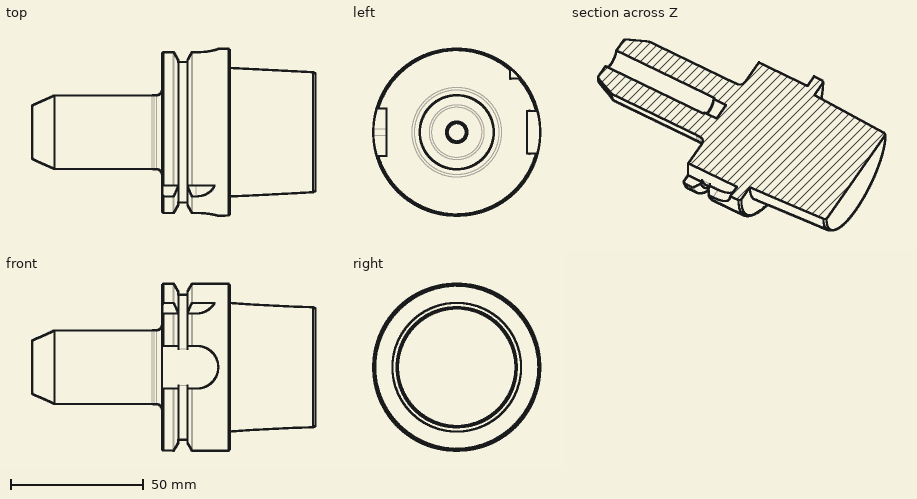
import cadquery as cq
import math

length = 107.0

shank_radius = 13.9
nose_length = 8.6
nose_angle = 24.0
nose_round = 1.0
collar_radius = 14.0
collar_ramp_start = 45.4
collar_start = 46.1
root_fillet = 1.9

bore_radius = 4.01
bore_depth = 42.8
bore_end_radius = 3.4
bore_end_length = 5.4

flange_front = 49.1
flange_back = 74.8
flange_radius = 31.51
flange_edge = 0.5
flange_back_edge = 0.7
root_ring_height = 0.1
root_ring_taper = 1.0

groove_front = 55.2
groove_back = 58.6
groove_radius = 27.4
groove_lip_radius = 28.6
groove_bevel_angle = 30.0
groove_edge_round = 0.5

taper_front_radius = 24.3
taper_back_radius = 22.7
taper_edge = 1.1

slot_floor = 26.5
slot_end = 70.3
narrow_slot_width = 16.0
wide_slot_width = 17.8
wide_slot_corner = 7.7
notch_y = 20.1
notch_z = 20.2
notch_floor_end = 62.0
notch_runout_radius = 8.0

nose_tip_radius = shank_radius - nose_length * math.tan(math.radians(nose_angle))
root_face = flange_front - root_ring_height
root_start = root_face - root_fillet
root_ring_radius = collar_radius + root_fillet
root_mid_offset = root_fillet * math.sqrt(0.5)
root_mid = (root_start + root_mid_offset, root_ring_radius - root_mid_offset)
bevel_length = (flange_radius - groove_lip_radius) * math.tan(math.radians(groove_bevel_angle))
front_land_end = groove_front - bevel_length
back_land_start = groove_back + bevel_length
slot_depth = flange_radius - slot_floor


def revolved_body():
    """Nose, shank, flange with V-groove, and taper turned about X."""
    outline = (
        cq.Workplane("XY")
        .moveTo(0, 0)
        .lineTo(0, nose_tip_radius)
        .lineTo(nose_length, shank_radius)
        .lineTo(collar_ramp_start, shank_radius)
        .lineTo(collar_start, collar_radius)
        .lineTo(root_start, collar_radius)
        .threePointArc(root_mid, (root_face, root_ring_radius))
        .lineTo(flange_front, root_ring_radius + root_ring_taper)
        .lineTo(flange_front, flange_radius - flange_edge)
        .lineTo(flange_front + flange_edge, flange_radius)
        .lineTo(front_land_end, flange_radius)
        .lineTo(groove_front, groove_lip_radius)
        .lineTo(groove_front, groove_radius)
        .lineTo(groove_back, groove_radius)
        .lineTo(groove_back, groove_lip_radius)
        .lineTo(back_land_start, flange_radius)
        .lineTo(flange_back - flange_back_edge, flange_radius)
        .lineTo(flange_back, flange_radius - flange_back_edge)
        .lineTo(flange_back, taper_front_radius)
        .lineTo(length - taper_edge, taper_back_radius)
        .lineTo(length, taper_back_radius - taper_edge / 2)
        .lineTo(length, 0)
        .close()
    )
    return outline.revolve(360, (0, 0, 0), (1, 0, 0))


def circle_edges_at(body, x):
    """Circular edges lying in the plane at the given X."""
    margin = 0.01
    reach = 2 * flange_radius
    box = cq.selectors.BoxSelector((x - margin, -reach, -reach), (x + margin, reach, reach), True)
    return body.edges("%CIRCLE").edges(box)


def bore_hole(start, radius, depth):
    return cq.Workplane("YZ", origin=(start, 0, 0)).circle(radius).extrude(depth)


def slot_plane(side):
    """XZ plane at the slot floor; side is -1 or +1 along Y."""
    return cq.Workplane("XZ", origin=(flange_front, side * slot_floor, 0))


def half_round_slot(side, width):
    """Flat-bottomed slot, open at the flange front and ending in a half circle."""
    slot_length = slot_end - flange_front
    return slot_plane(side).slot2D(2 * slot_length, width).extrude(-side * slot_depth)


def square_end_slot(side, width, corner):
    """Flat-bottomed slot, open at the flange front, with rounded end corners."""
    slot_length = slot_end - flange_front
    block = slot_plane(side).rect(2 * slot_length, width).extrude(-side * slot_depth)
    return block.edges("|Y and >X").fillet(corner)


def corner_notch():
    """Corner cut on the -Y, +Z side whose floor runs out upward on an arc."""
    arc_offset = notch_runout_radius * math.sqrt(0.5)
    runout_mid = (notch_floor_end + arc_offset, notch_z + notch_runout_radius - arc_offset)
    runout_top = notch_z + notch_runout_radius
    return (
        cq.Workplane("XZ", origin=(0, -notch_y, 0))
        .moveTo(flange_front, notch_z)
        .lineTo(notch_floor_end, notch_z)
        .threePointArc(runout_mid, (notch_floor_end + notch_runout_radius, runout_top))
        .lineTo(flange_front, runout_top)
        .close()
        .extrude(flange_radius - notch_y)
    )


result = revolved_body()
result = circle_edges_at(result, 0).fillet(nose_round)
for land_edge in (front_land_end, back_land_start):
    result = circle_edges_at(result, land_edge).fillet(groove_edge_round)

result = result.cut(half_round_slot(-1, narrow_slot_width))
result = result.cut(square_end_slot(1, wide_slot_width, wide_slot_corner))
result = result.cut(corner_notch())

result = result.cut(bore_hole(0, bore_radius, bore_depth))
result = result.cut(bore_hole(bore_depth, bore_end_radius, bore_end_length))